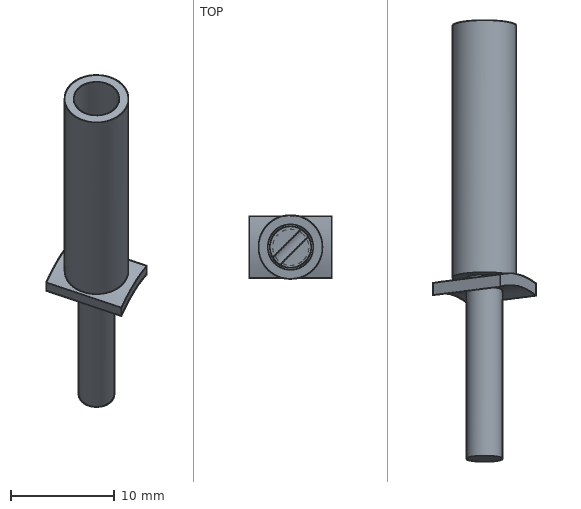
import cadquery as cq
import math

total_height = 42.6
sleeve_bottom = 17.8
saddle_top = 17.73

pin_diameter = 3.5

saddle_length = 8.0
saddle_width = 6.0
saddle_thickness = 1.15
saddle_outer_radius = 10.0
saddle_inner_radius = saddle_outer_radius - saddle_thickness

sleeve_diameter = 6.2
bore_diameter = 4.4
bore_floor_thickness = 1.0

head_diameter = 4.0
head_height = 1.5
slot_width = 1.0
slot_depth = 0.16
slot_angle = 45.0

bore_floor = sleeve_bottom + bore_floor_thickness
head_top = bore_floor + head_height


def cylinder(diameter, bottom, top):
    """Upright cylinder on the part axis between two heights."""
    return cq.Workplane("XY").workplane(offset=bottom).circle(diameter / 2).extrude(top - bottom)


def arc_drop(radius, half_chord):
    """Height an arc falls from its crown over half of its chord."""
    return radius - math.sqrt(radius**2 - half_chord**2)


def make_saddle():
    """Plate bounded by two concentric arcs in the YZ plane."""
    half_width = saddle_width / 2
    saddle_underside = saddle_top - saddle_thickness
    top_edge = saddle_top - arc_drop(saddle_outer_radius, half_width)
    bottom_edge = saddle_underside - arc_drop(saddle_inner_radius, half_width)
    return (
        cq.Workplane("YZ")
        .moveTo(-half_width, bottom_edge)
        .threePointArc((0, saddle_underside), (half_width, bottom_edge))
        .lineTo(half_width, top_edge)
        .threePointArc((0, saddle_top), (-half_width, top_edge))
        .close()
        .extrude(saddle_length / 2, both=True)
    )


def make_sleeve():
    """Tube closed at its lower end."""
    outside = cylinder(sleeve_diameter, sleeve_bottom, total_height)
    bore = cylinder(bore_diameter, bore_floor, total_height)
    return outside.cut(bore)


def make_slotted_head():
    """Round head with a shallow, round-bottomed slot across its top."""
    half_slot = slot_width / 2
    slot = (
        cq.Workplane("YZ")
        .moveTo(-half_slot, head_top)
        .threePointArc((0, head_top - slot_depth), (half_slot, head_top))
        .close()
        .extrude(head_diameter, both=True)
        .rotate((0, 0, 0), (0, 0, 1), slot_angle)
    )
    return cylinder(head_diameter, bore_floor, head_top).cut(slot)


pin = cylinder(pin_diameter, 0, sleeve_bottom)
result = pin.union(make_saddle()).union(make_sleeve()).union(make_slotted_head())